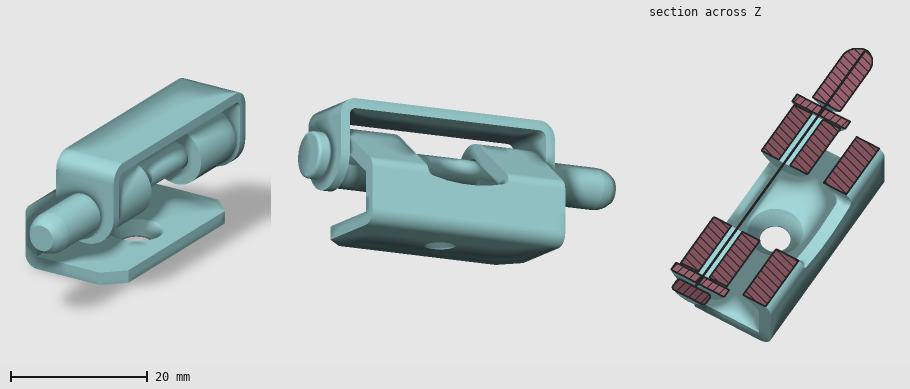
import cadquery as cq
import math


axis_x = 11.5
axis_z = 12.0
pin_radius = 2.0
pin_back = 20.5
pin_front = -29.5

bracket_length = 35.5
bracket_width = 10.0
bracket_thickness = 1.5
bracket_bend_radius = 2.5
bracket_top = 20.0
ear_fillet_margin = 0.0005

leaf_length = 32.0
leaf_depth = 16.0
leaf_thickness = 2.0
leaf_bend_radius = 2.0
corner_chamfer = 3.0
slope_angle = math.radians(35)
knuckle_bore_radius = 2.2
knuckle_thickness = 2.25
knuckle_end_angle = math.radians(205)
knuckle_radius = knuckle_bore_radius + knuckle_thickness

notch_width = 13.3
notch_middle_z = 7.35
notch_edge_z = 8.3
notch_corner_radius = 1.0

screw_x = 9.0
screw_radius = 2.25
countersink_radius = 4.05

end_gap = 0.65
head_radius = 3.5
head_edge_radius = 0.5
sleeve_radius = 3.1
nose_length = 2.6
nose_cone_length = 0.8
nose_cone_radius = 2.6

head_start = bracket_length / 2 + end_gap
sleeve_start = -head_start


def cylinder(radius, y_start, y_end):
    """Cylinder on the pin axis."""
    return (
        cq.Workplane("XZ", origin=(axis_x, y_start, axis_z))
        .circle(radius)
        .extrude(y_start - y_end)
    )


def make_bracket():
    """U-shaped strap with two round-ended ears bored for the pin."""
    ear_radius = bracket_width / 2
    ear_bottom = axis_z - ear_radius
    height = bracket_top - ear_bottom
    middle = (axis_x, 0, (bracket_top + ear_bottom) / 2)
    strap = cq.Workplane("XY").box(bracket_width, bracket_length, height).translate(middle)
    strap = strap.edges("|X and >Z").fillet(bracket_bend_radius)
    inside = (
        cq.Workplane("XY")
        .box(bracket_width, bracket_length - 2 * bracket_thickness, height)
        .edges("|X and >Z")
        .fillet(bracket_bend_radius - bracket_thickness)
        .translate(middle)
        .translate((0, 0, -bracket_thickness))
    )
    strap = strap.cut(inside).edges("|Y and <Z").fillet(ear_radius - ear_fillet_margin)
    return strap.cut(cylinder(pin_radius, pin_back, pin_front))


def slope_z(x, radius):
    """Height at x of the sloping line tangent to a circle of this radius about the pin."""
    return axis_z + radius / math.cos(slope_angle) - (axis_x - x) * math.tan(slope_angle)


def tangent_point(radius):
    """Point where the sloping line touches that circle."""
    return (
        axis_x - radius * math.sin(slope_angle),
        axis_z + radius * math.cos(slope_angle),
    )


def make_leaf():
    """Bent leaf: flat base, wall and slope that ends in two knuckles around the pin."""
    wall_and_base = (
        cq.Workplane("XZ", origin=(0, leaf_length / 2, 0))
        .moveTo(leaf_depth, 0)
        .lineTo(0, 0)
        .lineTo(0, slope_z(0, knuckle_radius))
        .lineTo(*tangent_point(knuckle_radius))
        .lineTo(*tangent_point(knuckle_bore_radius))
        .lineTo(leaf_thickness, slope_z(leaf_thickness, knuckle_bore_radius))
        .lineTo(leaf_thickness, leaf_thickness)
        .lineTo(leaf_depth, leaf_thickness)
        .close()
        .extrude(leaf_length)
        .faces("<X")
        .edges("|Y")
        .fillet(leaf_bend_radius)
        .edges("|Z and >X")
        .chamfer(corner_chamfer)
    )
    knuckle = cylinder(knuckle_radius, leaf_length / 2, -leaf_length / 2)
    bore = cylinder(knuckle_bore_radius, leaf_length / 2, -leaf_length / 2)
    knuckle = knuckle.cut(make_curl_opening())
    leaf = wall_and_base.union(knuckle).cut(bore)
    return leaf.cut(make_notch()).cut(make_screw_hole())


def make_curl_opening():
    """Cutter for the gap between the slope and the free end of each knuckle."""
    reach = 2 * knuckle_radius
    end_x = axis_x + reach * math.cos(knuckle_end_angle)
    end_z = axis_z + reach * math.sin(knuckle_end_angle)
    start_x = axis_x - reach * math.sin(slope_angle)
    start_z = axis_z + reach * math.cos(slope_angle)
    return (
        cq.Workplane("XZ", origin=(0, leaf_length / 2, 0))
        .moveTo(axis_x, axis_z)
        .lineTo(start_x, start_z)
        .lineTo(axis_x - reach, axis_z)
        .lineTo(end_x, end_z)
        .close()
        .extrude(leaf_length)
    )


def make_notch():
    """Cutter that parts the knuckles at full height and leaves a bowed floor across the wall."""
    side = notch_width / 2
    knuckle_gap = (
        cq.Workplane("XY", origin=(axis_x, 0, leaf_thickness))
        .rect(bracket_width, notch_width)
        .extrude(bracket_top)
    )
    wall_gap = (
        cq.Workplane("YZ")
        .moveTo(-side, bracket_top)
        .lineTo(-side, notch_edge_z)
        .threePointArc((0, notch_middle_z), (side, notch_edge_z))
        .lineTo(side, bracket_top)
        .close()
        .extrude(leaf_depth)
        .edges("|X and (not >Z)")
        .fillet(notch_corner_radius)
    )
    return wall_gap.union(knuckle_gap)


def make_screw_hole():
    """Cutter for the countersunk hole, widest at the base's upper face."""
    return (
        cq.Workplane("XZ", origin=(screw_x, 0, 0))
        .lineTo(screw_radius, 0)
        .lineTo(screw_radius, leaf_thickness - (countersink_radius - screw_radius))
        .lineTo(countersink_radius, leaf_thickness)
        .lineTo(0, leaf_thickness)
        .close()
        .revolve(360, (0, 0, 0), (0, 1, 0))
    )


def make_pin():
    """Plain pin through both ears, with a rounded button head on its back end."""
    head = cylinder(head_radius, pin_back, head_start).edges().fillet(head_edge_radius)
    return cylinder(pin_radius, pin_back, pin_front).union(head)


def make_sleeve():
    """Sleeve on the front end of the pin, with a curved nose that ends in a cone."""
    curve_start = pin_front + nose_length
    cone_start = pin_front + nose_cone_length
    return (
        cq.Workplane("XY", origin=(axis_x, 0, axis_z))
        .moveTo(pin_radius, sleeve_start)
        .lineTo(sleeve_radius, sleeve_start)
        .lineTo(sleeve_radius, curve_start)
        .tangentArcPoint((nose_cone_radius, cone_start), relative=False)
        .lineTo(pin_radius, pin_front)
        .close()
        .revolve(360, (0, 0, 0), (0, 1, 0))
    )


bracket = make_bracket()
leaf = make_leaf()
pin = make_pin()
sleeve = make_sleeve()

result = cq.Compound.makeCompound([bracket.val(), leaf.val(), pin.val(), sleeve.val()])